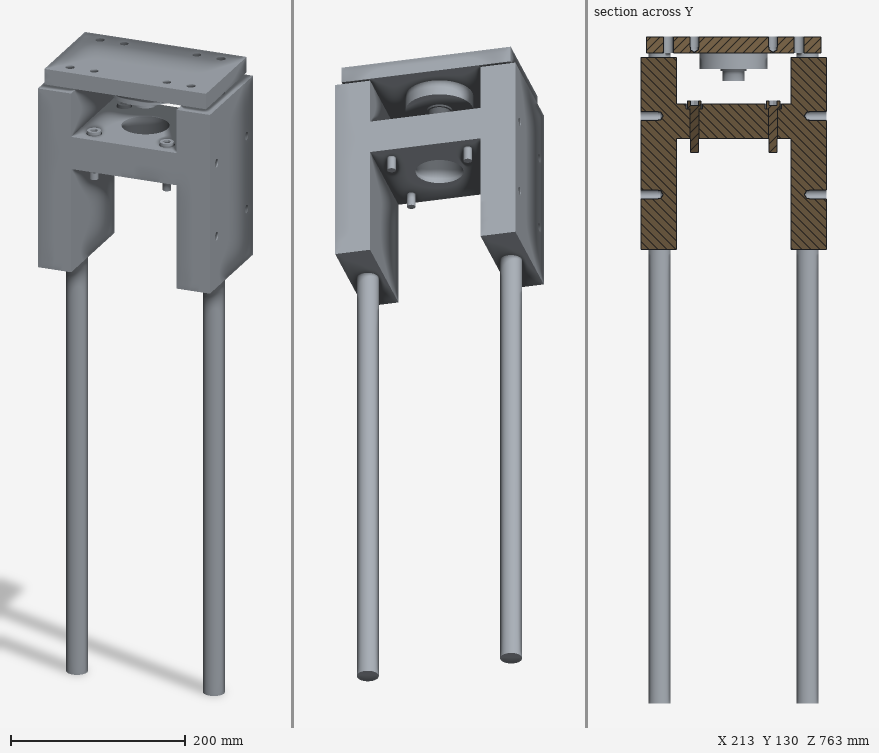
import cadquery as cq
import math

total_height = 763.0

plate_length = 200.0
plate_width = 122.0
plate_thickness = 19.0
rod_diameter = 25.0
rod_offset = 85.0
hub_diameter = 78.0
hub_height = 18.0
collar_diameter = 30.0
collar_height = 2.0
tip_diameter = 25.0
tip_height = 11.5
outer_hole_diameter = 11.0
outer_hole_offset = 75.0
inner_hole_depth = 15.0
inner_thread_depth = 12.0

housing_length = 213.0
housing_width = 130.0
housing_height = 220.5
leg_thickness = 41.0
plate_gap = 4.5
bar_drop = 53.5
bar_bore_diameter = 55.0
screw_recess_diameter = 18.0
screw_recess_depth = 5.0
bar_thickness = 40.0
side_pattern_height = 108.0
side_hole_depth = 23.0
side_thread_depth = 20.0

screw_head_diameter = 16.0
screw_head_height = 9.0
screw_shank_diameter = 10.0
screw_protrusion = 16.0
socket_sides = 6
socket_width = 8.5
socket_depth = 5.0

thread_diameter = 10.0
drill_diameter = 8.5
drill_point_angle = 118.0

pattern_offset = 45.0

plate_bottom = total_height - plate_thickness
housing_top = plate_bottom - plate_gap
housing_bottom = housing_top - housing_height
side_pattern_middle = housing_bottom + side_pattern_height
bar_top = housing_top - bar_drop
bar_bottom = bar_top - bar_thickness
gap_between_legs = housing_length - 2 * leg_thickness
signs = (-1, 1)
centre = [(0, 0)]
square_pattern = [(sx * pattern_offset, sy * pattern_offset) for sx in signs for sy in signs]
rod_points = [(side * rod_offset, 0) for side in signs]


def cylinder_down(diameter, top, depth, points):
    """Vertical cylinders that hang from the height `top` at each of the points."""
    return cq.Workplane("XY").workplane(offset=top).pushPoints(points).circle(diameter / 2).extrude(-depth)


def block_down(length, width, top, height):
    """Centred block that hangs from the height `top`."""
    return cq.Workplane("XY").workplane(offset=top).rect(length, width).extrude(-height)


def tapped_hole(depth, thread_depth, location):
    """Stepped blind hole along the Z axis of `location`; `depth` reaches to the base of the end cone."""
    thread_radius = thread_diameter / 2
    drill_radius = drill_diameter / 2
    cone_length = drill_radius / math.tan(math.radians(drill_point_angle / 2))
    profile = [
        (0, 0),
        (thread_radius, 0),
        (thread_radius, thread_depth),
        (drill_radius, thread_depth),
        (drill_radius, depth),
        (0, depth + cone_length),
    ]
    hole = cq.Workplane("XZ").polyline(profile).close().revolve(360, (0, 0), (0, 1))
    return cq.Workplane(hole.val().moved(location))


def make_carriage():
    """Plate with two long guide rods and a stepped hub below it."""
    outer_points = [(sx * outer_hole_offset, sy * pattern_offset) for sx in signs for sy in signs]
    hub_bottom = plate_bottom - hub_height
    collar_bottom = hub_bottom - collar_height
    carriage = block_down(plate_length, plate_width, total_height, plate_thickness)
    carriage = carriage.cut(cylinder_down(outer_hole_diameter, total_height, plate_thickness, outer_points))
    for x, y in square_pattern:
        downward = cq.Location(cq.Plane((x, y, total_height), (1, 0, 0), (0, 0, -1)))
        carriage = carriage.cut(tapped_hole(inner_hole_depth, inner_thread_depth, downward))
    carriage = carriage.union(cylinder_down(hub_diameter, plate_bottom, hub_height, centre))
    carriage = carriage.union(cylinder_down(collar_diameter, hub_bottom, collar_height, centre))
    carriage = carriage.union(cylinder_down(tip_diameter, collar_bottom, tip_height, centre))
    return carriage.union(cylinder_down(rod_diameter, plate_bottom, plate_bottom, rod_points))


def make_housing():
    """H-shaped block bored for the rods and screws, with tapped holes in both outer sides."""
    housing = block_down(housing_length, housing_width, housing_top, housing_height)
    housing = housing.cut(block_down(gap_between_legs, housing_width, housing_top, bar_drop))
    lower_height = bar_bottom - housing_bottom
    housing = housing.cut(block_down(gap_between_legs, housing_width, bar_bottom, lower_height))
    housing = housing.cut(cylinder_down(rod_diameter, housing_top, housing_height, rod_points))
    housing = housing.cut(cylinder_down(screw_shank_diameter, bar_top, bar_thickness, square_pattern))
    housing = housing.cut(cylinder_down(screw_recess_diameter, bar_top, screw_recess_depth, square_pattern))
    housing = housing.cut(cylinder_down(bar_bore_diameter, bar_top, bar_thickness, centre))
    for side in signs:
        for y, z in square_pattern:
            origin = (side * housing_length / 2, y, side_pattern_middle + z)
            inward = cq.Location(cq.Plane(origin, (0, 1, 0), (-side, 0, 0)))
            housing = housing.cut(tapped_hole(side_hole_depth, side_thread_depth, inward))
    return housing


def make_screw(point):
    """Socket-head screw whose head sits in a shallow crossbar recess and whose shank sticks out below it."""
    head_bottom = bar_top - screw_recess_depth
    head_top = head_bottom + screw_head_height
    shank_length = head_bottom - bar_bottom + screw_protrusion
    head = cylinder_down(screw_head_diameter, head_top, screw_head_height, [point])
    shank = cylinder_down(screw_shank_diameter, head_bottom, shank_length, [point])
    socket = (
        cq.Workplane("XY")
        .workplane(offset=head_top)
        .center(*point)
        .polygon(socket_sides, socket_width, circumscribed=True)
        .extrude(-socket_depth)
    )
    return head.union(shank).cut(socket)


carriage = make_carriage()
housing = make_housing()
screws = [make_screw(point) for point in square_pattern]

result = cq.Compound.makeCompound([carriage.val(), housing.val(), *[screw.val() for screw in screws]])